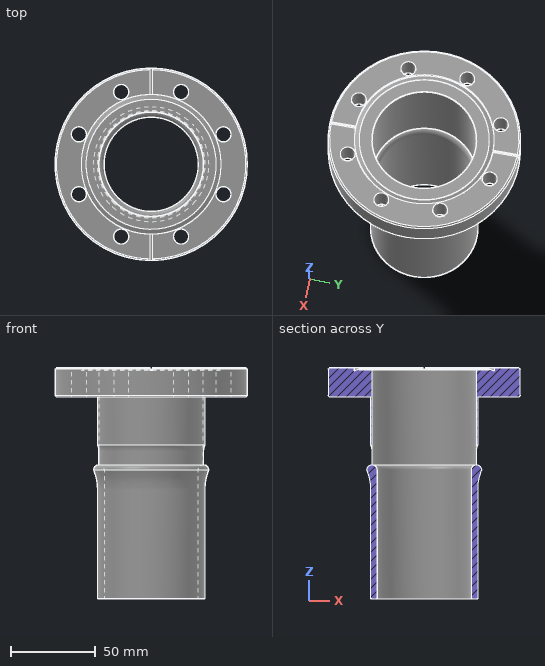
import cadquery as cq
import math

total_height = 136.5

flange_radius = 56.8
flange_thickness = 17.5
flange_chamfer = 1.0

bolt_count = 8
bolt_circle_radius = 46.1
bolt_hole_diameter = 8.7

recess_radius = 41.2
recess_depth = 1.8
knife_radius = 38.4
knife_slope_degrees = 20.0
seat_depth = 1.2

leak_groove_width = 1.4
leak_groove_depth = 1.5

tube_radius = 31.8
bore_radius = 30.7
bore_mouth_chamfer = 0.3
neck_radius = 31.0
neck_blend_top = 90.9
neck_blend_bottom = 87.4

bead_top = 79.2
bead_radius = 34.0
bead_bulge_z = 76.2
bead_round_bottom = 75.2
bead_round_inset = 0.3
flare_bottom = 65.1

lower_bore_radius = 27.7
lower_end_chamfer = 0.4

flange_bottom = total_height - flange_thickness
seat_z = total_height - seat_depth
knife_rise = (recess_radius - knife_radius) * math.tan(math.radians(knife_slope_degrees))
knife_z = total_height - recess_depth + knife_rise


def quarter_round_midpoint(top, side):
    """Middle of a quarter ellipse that is level at `top` and upright at `side`."""
    half = math.sqrt(0.5)
    return (
        top[0] + (side[0] - top[0]) * half,
        side[1] + (top[1] - side[1]) * half,
    )


def make_body():
    """Flange, neck, bead and lower tube as one revolved section in (radius, Z)."""
    bead_outer_start = (neck_radius, bead_top)
    bead_outer_end = (bead_radius, bead_bulge_z)
    flare_start = (bead_radius - bead_round_inset, bead_round_bottom)
    bead_inner_start = (bore_radius, bead_top)
    bead_inner_end = (lower_bore_radius, bead_bulge_z)

    section = (
        cq.Workplane("XZ")
        .moveTo(lower_bore_radius, 0)
        .lineTo(tube_radius - lower_end_chamfer, 0)
        .lineTo(tube_radius, lower_end_chamfer)
        .lineTo(tube_radius, flare_bottom)
        .tangentArcPoint(flare_start, relative=False)
        .lineTo(*bead_outer_end)
        .threePointArc(quarter_round_midpoint(bead_outer_start, bead_outer_end), bead_outer_start)
        .lineTo(neck_radius, neck_blend_bottom)
        .tangentArcPoint((tube_radius, neck_blend_top), relative=False)
        .lineTo(tube_radius, flange_bottom)
        .lineTo(flange_radius - flange_chamfer, flange_bottom)
        .lineTo(flange_radius, flange_bottom + flange_chamfer)
        .lineTo(flange_radius, total_height - flange_chamfer)
        .lineTo(flange_radius - flange_chamfer, total_height)
        .lineTo(recess_radius, total_height)
        .lineTo(recess_radius, total_height - recess_depth)
        .lineTo(knife_radius, knife_z)
        .lineTo(knife_radius, seat_z)
        .lineTo(bore_radius + bore_mouth_chamfer, seat_z)
        .lineTo(bore_radius, seat_z - bore_mouth_chamfer)
        .lineTo(*bead_inner_start)
        .threePointArc(quarter_round_midpoint(bead_inner_start, bead_inner_end), bead_inner_end)
        .close()
    )
    return section.revolve(360, (0, 0, 0), (0, 1, 0))


def make_bolt_holes():
    """Through holes on the bolt circle, straddling the X and Y axes."""
    return (
        cq.Workplane("XY", origin=(0, 0, flange_bottom))
        .polarArray(bolt_circle_radius, 180 / bolt_count, 360, bolt_count)
        .circle(bolt_hole_diameter / 2)
        .extrude(flange_thickness)
    )


def make_leak_grooves():
    """Radial grooves along +Y and -Y, from the gasket recess to the flange rim."""
    bar = (
        cq.Workplane("XY", origin=(0, 0, total_height - leak_groove_depth))
        .rect(leak_groove_width, 2 * flange_radius)
        .extrude(leak_groove_depth)
    )
    recess_core = (
        cq.Workplane("XY", origin=(0, 0, flange_bottom))
        .circle(recess_radius)
        .extrude(flange_thickness)
    )
    return bar.cut(recess_core)


result = make_body().cut(make_bolt_holes()).cut(make_leak_grooves())